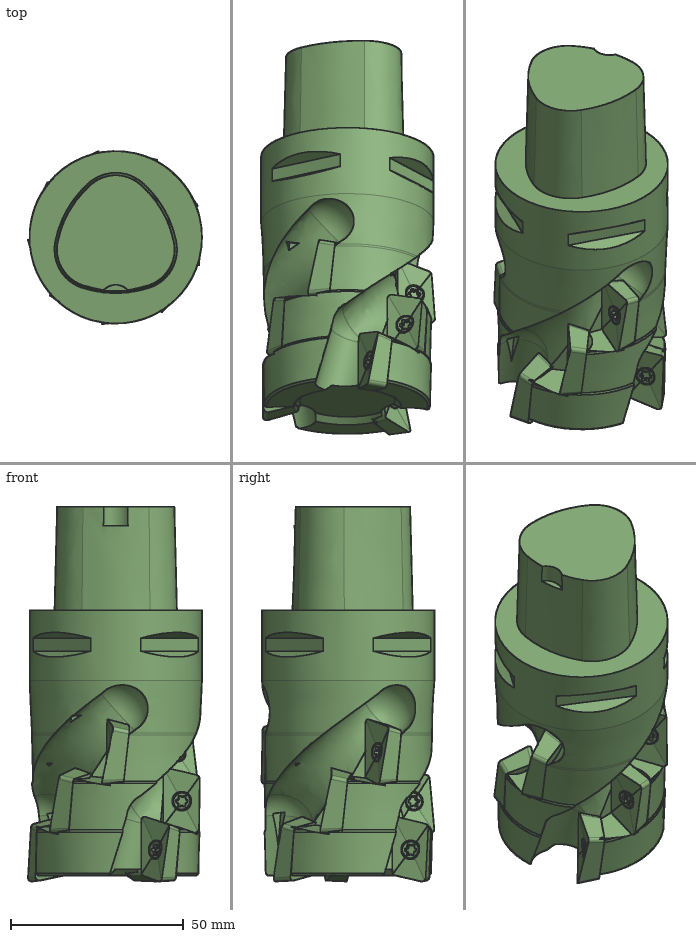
import cadquery as cq
import math

SHANK_LENGTH = 30.0
SHANK_FLAT_REACH = 16.2
SHANK_LOBE_REACH = 18.7
LOBE_CENTRE_REACH = 7.0
SHANK_TAPER = math.degrees(math.atan(1 / 40))
KEY_NOTCH_RADIUS = 4.7
KEY_NOTCH_DEPTH = 5.6
KEY_NOTCH_BOTTOM_Y = -13.75

FLANGE_RADIUS = 25.0
FLANGE_BOTTOM_Z = -20.2
NECK_BOTTOM_RADIUS = 24.3
LAND_TOP_RADIUS = 24.3
LAND_BOTTOM_RADIUS = 24.0
BODY_BOTTOM_Z = -76.8
LAND_EDGE = 0.6
DISH_RADIUS = 15.6
DISH_DEPTH = 1.8

SLOT_COUNT = 4
SLOT_Z = -9.97
SLOT_FLOOR_REACH = 22.07
SLOT_FLOOR_WIDTH = 3.75
SLOT_FLANK_ANGLE = 30.0

FLUTE_COUNT = 3
ROW_COUNT = 3
ROW_PITCH = 14.1
ROW_TURN = 39.7
FIRST_ROW_Z = -69.6
FIRST_ROW_AZIMUTH = -47.0
LAND_TOP_OFFSET = 5.4

INSERT_TILT = 6.3
INSERT_CENTRE_U = 19.57
INSERT_HALF_WIDTH = 5.4
LONG_CORNER_W = 9.75
SHORT_CORNER_W = 7.5
SEAT_N = -2.2
HIGH_CORNER_N = 4.2
LOW_CORNER_N = 2.6
RAKE_CENTRE_N = 2.1
RAKE_CUTTER_SPREAD = 1.5
RAKE_CUTTER_PEAK_N = 19.0
CLEARANCE_ANGLE = 7.0
NOSE_RADIUS = 1.2
SCREW_HOLE_DIAMETER = 5.5
SCREW_HOLE_DEPTH = 0.5
SCREW_HEAD_DIAMETER = 4.9
SOCKET_DIAMETER = 3.5
SOCKET_DEPTH = 1.2
SOCKET_LOBES = 6
SOCKET_LOBE_RADIUS = 0.45

FLUTE_RADIUS = 8.0
FLUTE_BALL_RADIUS = 8.1
FLUTE_REACH = 20.5
FLUTE_TURN_RATE = 3.1
FLUTE_TOP_Z = -28.4
FLUTE_BEND_Z = -60.0
FLUTE_TOP_AZIMUTH = 34.3
FLUTE_OVERRUN = 5.0
FLUTE_FOOT_Z = BODY_BOTTOM_Z - FLUTE_OVERRUN
FLUTE_FOOT_TURN = -15.0
POCKET_FLOOR_N = 1.6
POCKET_LENGTH = 13.0


def polar(radius, azimuth, z=0.0):
    angle = math.radians(azimuth)
    return cq.Vector(radius * math.cos(angle), radius * math.sin(angle), z)


def make_shank():
    """Three large and three small tangent arcs, drawn to a taper."""
    drop = SHANK_LOBE_REACH - SHANK_FLAT_REACH
    flat_centre_reach = (2 * drop * LOBE_CENTRE_REACH - drop**2) / (LOBE_CENTRE_REACH - 2 * drop)
    flat_radius = SHANK_FLAT_REACH + flat_centre_reach
    swing = math.degrees(
        math.atan2(
            LOBE_CENTRE_REACH * math.sin(math.radians(60)),
            LOBE_CENTRE_REACH * math.cos(math.radians(60)) + flat_centre_reach,
        )
    )

    def joint(flat_azimuth, side):
        centre = polar(-flat_centre_reach, flat_azimuth)
        return (centre + polar(flat_radius, flat_azimuth + side * swing)).toTuple()[:2]

    outline = cq.Workplane("XY").moveTo(*joint(-90, -1))
    for flat_azimuth in (-90, 30, 150):
        flat_middle = polar(SHANK_FLAT_REACH, flat_azimuth).toTuple()[:2]
        lobe_tip = polar(SHANK_LOBE_REACH, flat_azimuth + 60).toTuple()[:2]
        outline = outline.threePointArc(flat_middle, joint(flat_azimuth, 1))
        outline = outline.threePointArc(lobe_tip, joint(flat_azimuth + 120, -1))
    shank = outline.close().extrude(SHANK_LENGTH, taper=SHANK_TAPER)
    notch = (
        cq.Workplane("XY", origin=(0, KEY_NOTCH_BOTTOM_Y - KEY_NOTCH_RADIUS, SHANK_LENGTH))
        .circle(KEY_NOTCH_RADIUS)
        .extrude(-KEY_NOTCH_DEPTH)
    )
    return shank.cut(notch)


def make_turned_body():
    """Flange, neck and three conical lands, revolved about Z."""
    points = [(0, 0), (FLANGE_RADIUS, 0), (FLANGE_RADIUS, FLANGE_BOTTOM_Z)]
    upper_radius = NECK_BOTTOM_RADIUS
    for row in reversed(range(ROW_COUNT)):
        land_top = FIRST_ROW_Z + row * ROW_PITCH + LAND_TOP_OFFSET
        points.append((upper_radius, land_top + LAND_EDGE))
        points.append((LAND_TOP_RADIUS, land_top))
        upper_radius = LAND_BOTTOM_RADIUS
    points.append((LAND_BOTTOM_RADIUS, BODY_BOTTOM_Z + LAND_EDGE))
    points.append((LAND_BOTTOM_RADIUS - LAND_EDGE, BODY_BOTTOM_Z))
    points.append((DISH_RADIUS, BODY_BOTTOM_Z))
    points.append((DISH_RADIUS - DISH_DEPTH, BODY_BOTTOM_Z + DISH_DEPTH))
    points.append((0, BODY_BOTTOM_Z + DISH_DEPTH))
    return cq.Workplane("XZ").polyline(points).close().revolve(360, (0, 0), (0, 1))


def make_gripper_slot(azimuth):
    depth = FLANGE_RADIUS - SLOT_FLOOR_REACH
    floor_half = SLOT_FLOOR_WIDTH / 2
    mouth_half = floor_half + depth * math.tan(math.radians(SLOT_FLANK_ANGLE))
    return (
        cq.Workplane("XZ")
        .polyline(
            [
                (SLOT_FLOOR_REACH, SLOT_Z - floor_half),
                (FLANGE_RADIUS, SLOT_Z - mouth_half),
                (FLANGE_RADIUS, SLOT_Z + mouth_half),
                (SLOT_FLOOR_REACH, SLOT_Z + floor_half),
            ]
        )
        .close()
        .extrude(FLANGE_RADIUS, both=True)
        .rotate((0, 0, 0), (0, 0, 1), azimuth)
    )


def make_flute():
    """Helical round channel with a ball end on top and a straight run out of the bottom."""
    height = FLUTE_TOP_Z - FLUTE_BEND_Z
    bend_azimuth = FLUTE_TOP_AZIMUTH - height * FLUTE_TURN_RATE
    path = cq.Wire.makeHelix(360 / FLUTE_TURN_RATE, height, FLUTE_REACH)
    path = path.rotate(cq.Vector(0, 0, 0), cq.Vector(0, 0, 1), bend_azimuth)
    path = path.translate(cq.Vector(0, 0, FLUTE_BEND_Z))
    bend = polar(FLUTE_REACH, bend_azimuth, FLUTE_BEND_Z)
    top = polar(FLUTE_REACH, FLUTE_TOP_AZIMUTH, FLUTE_TOP_Z)
    foot = polar(FLUTE_REACH, bend_azimuth + FLUTE_FOOT_TURN, FLUTE_FOOT_Z)
    helix = (
        cq.Workplane(cq.Plane(origin=bend, normal=path.tangentAt(0)))
        .circle(FLUTE_RADIUS)
        .sweep(cq.Workplane(path), isFrenet=True)
    )
    run = foot - bend
    straight = cq.Solid.makeCylinder(FLUTE_RADIUS, run.Length, bend, run)
    balls = cq.Workplane("XY").pushPoints([bend, top]).sphere(FLUTE_BALL_RADIUS)
    return [helix, cq.Workplane(straight), balls]


def insert_corners(scale=1.0):
    """Outer-top, outer-bottom, inner-bottom and inner-top corners."""
    half_width = scale * INSERT_HALF_WIDTH
    return [
        (half_width, scale * SHORT_CORNER_W),
        (half_width, -scale * LONG_CORNER_W),
        (-half_width, -scale * SHORT_CORNER_W),
        (-half_width, scale * LONG_CORNER_W),
    ]


def make_rake_cutter():
    """Everything above the four rake facets that fall from the edges to the screw."""
    centre = cq.Vector(0, 0, RAKE_CENTRE_N)
    peak = cq.Vector(0, 0, RAKE_CUTTER_PEAK_N)
    corner_heights = (LOW_CORNER_N, HIGH_CORNER_N, LOW_CORNER_N, HIGH_CORNER_N)
    rim = [
        cq.Vector(u, w, RAKE_CENTRE_N + RAKE_CUTTER_SPREAD * (n - RAKE_CENTRE_N))
        for (u, w), n in zip(insert_corners(RAKE_CUTTER_SPREAD), corner_heights)
    ]
    faces = []
    for index, corner in enumerate(rim):
        following = rim[(index + 1) % len(rim)]
        for tip in (centre, peak):
            edge_loop = cq.Wire.makePolygon([corner, following, tip], close=True)
            faces.append(cq.Face.makeFromWires(edge_loop))
    return cq.Workplane(cq.Solid.makeSolid(cq.Shell.makeShell(faces)))


def make_insert_blank():
    """Insert before its rake facets and screw, narrowing towards the seat."""
    blank = (
        cq.Workplane("XY", origin=(0, 0, HIGH_CORNER_N))
        .polyline(insert_corners())
        .close()
        .extrude(SEAT_N - HIGH_CORNER_N, taper=CLEARANCE_ANGLE)
    )
    return blank.edges("not #Z").fillet(NOSE_RADIUS)


def make_insert():
    """Cutting insert with its clamping screw, centred on the screw axis N."""
    insert = make_insert_blank().cut(make_rake_cutter())
    ring = (
        cq.Workplane("XY", origin=(0, 0, RAKE_CENTRE_N - SCREW_HOLE_DEPTH))
        .circle(SCREW_HOLE_DIAMETER / 2)
        .circle(SCREW_HEAD_DIAMETER / 2)
        .extrude(HIGH_CORNER_N)
    )
    socket = (
        cq.Workplane("XY", origin=(0, 0, RAKE_CENTRE_N - SOCKET_DEPTH))
        .tag("socket_floor")
        .circle(SOCKET_DIAMETER / 2 - SOCKET_LOBE_RADIUS)
        .extrude(HIGH_CORNER_N)
        .workplaneFromTagged("socket_floor")
        .polarArray(SOCKET_DIAMETER / 2 - SOCKET_LOBE_RADIUS, 0, 360, SOCKET_LOBES)
        .circle(SOCKET_LOBE_RADIUS)
        .extrude(HIGH_CORNER_N)
    )
    return insert.cut(ring).cut(socket)


def make_pocket():
    """Open seat ahead of an insert, through which the chips reach the flute."""
    return (
        cq.Workplane("XY", origin=(0, 0, POCKET_FLOOR_N))
        .polyline(insert_corners())
        .close()
        .extrude(POCKET_LENGTH)
    )


def place_on_row(shape, row):
    azimuth = FIRST_ROW_AZIMUTH + row * ROW_TURN
    tilt = math.radians(INSERT_TILT)
    forward = polar(math.cos(tilt), azimuth - 90, math.sin(tilt))
    origin = polar(INSERT_CENTRE_U, azimuth, FIRST_ROW_Z + row * ROW_PITCH)
    frame = cq.Plane(origin=origin, xDir=polar(1, azimuth), normal=forward)
    return cq.Workplane(shape.val().moved(cq.Location(frame)))


def around_axis(shape, index):
    return shape.rotate((0, 0, 0), (0, 0, 1), index * 360 / FLUTE_COUNT)


row_inserts = [place_on_row(make_insert(), row) for row in range(ROW_COUNT)]
inserts = [around_axis(insert, i) for i in range(FLUTE_COUNT) for insert in row_inserts]

row_seats = [place_on_row(make_insert_blank(), row) for row in range(ROW_COUNT)]
row_pockets = [place_on_row(make_pocket(), row) for row in range(ROW_COUNT)]
flute_parts = make_flute()

body = make_turned_body().union(make_shank())
for index in range(SLOT_COUNT):
    body = body.cut(make_gripper_slot(45 + index * 360 / SLOT_COUNT))
for index in range(FLUTE_COUNT):
    for cutter in flute_parts + row_pockets + row_seats:
        body = body.cut(around_axis(cutter, index))

result = cq.Compound.makeCompound([*body.vals(), *[insert.val() for insert in inserts]])